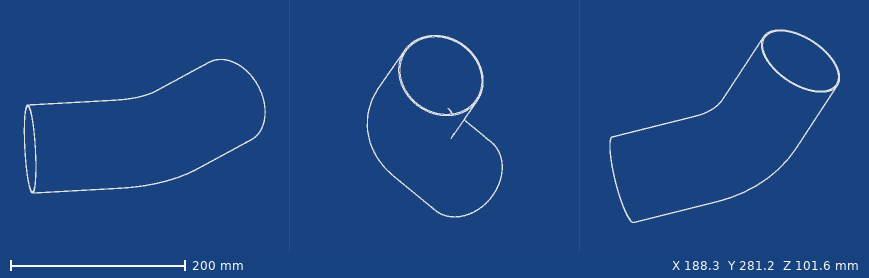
import cadquery as cq
import math

OUTER_DIAMETER = 101.6
INNER_DIAMETER = 98.3
BEND_ANGLE = 45.0
BEND_RADIUS = OUTER_DIAMETER
LEG_LENGTH = OUTER_DIAMETER


def bend_point(angle):
    """Centreline point at an angle (degrees) into the bend, which starts at the origin heading -Y."""
    turn = math.radians(angle)
    return (-BEND_RADIUS * (1 - math.cos(turn)), -BEND_RADIUS * math.sin(turn))


def pipe_centreline():
    """Straight leg along -Y, a bend towards -X, then a second straight leg."""
    bend_end = bend_point(BEND_ANGLE)
    exit_turn = math.radians(BEND_ANGLE)
    leg_end = (
        bend_end[0] - LEG_LENGTH * math.sin(exit_turn),
        bend_end[1] - LEG_LENGTH * math.cos(exit_turn),
    )
    return (
        cq.Workplane("XY")
        .moveTo(0, LEG_LENGTH)
        .lineTo(0, 0)
        .threePointArc(bend_point(BEND_ANGLE / 2), bend_end)
        .lineTo(*leg_end)
    )


def bent_pipe():
    """Sweep the ring-shaped pipe section along the centreline."""
    section = (
        cq.Workplane("XZ", origin=(0, LEG_LENGTH, 0))
        .circle(OUTER_DIAMETER / 2)
        .circle(INNER_DIAMETER / 2)
    )
    return section.sweep(pipe_centreline())


result = bent_pipe()